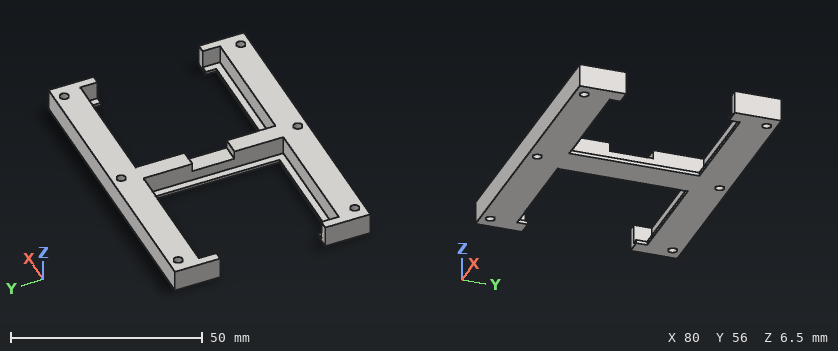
import cadquery as cq

length = 80.0
width = 56.0
height = 6.5

end_wall = 2.5
centre_bar = 5.0
pocket_width = 40.0
pocket_length = (length - centre_bar) / 2 - end_wall
pocket_x = (centre_bar + pocket_length) / 2

ledge_width = 2.0
ledge_height = 1.0

end_gap = 30.0

notch_width = 12.0
notch_depth = 2.5

hole_diameter = 2.4
hole_inset_x = 4.0
hole_inset_y = 2.7
hole_x = length / 2 - hole_inset_x
hole_y = width / 2 - hole_inset_y


def block(size_x, size_y, bottom, top, center_x=0.0):
    """Box centred on the X axis, reaching from bottom to top."""
    return (
        cq.Workplane("XY")
        .box(size_x, size_y, top - bottom, centered=(True, True, False))
        .translate((center_x, 0, bottom))
    )


frame = block(length, width, 0, height)

for side in (-1, 1):
    frame = frame.cut(block(pocket_length, pocket_width, ledge_height, height, side * pocket_x))
    window_length = pocket_length - 2 * ledge_width
    window_width = pocket_width - 2 * ledge_width
    frame = frame.cut(block(window_length, window_width, 0, height, side * pocket_x))

    gap_length = end_wall + ledge_width
    gap_x = (length - gap_length) / 2
    frame = frame.cut(block(gap_length, end_gap, 0, height, side * gap_x))

frame = frame.cut(block(centre_bar, notch_width, height - notch_depth, height))

hole_points = [(x, y) for x in (-hole_x, 0, hole_x) for y in (-hole_y, hole_y)]
holes = cq.Workplane("XY").pushPoints(hole_points).circle(hole_diameter / 2).extrude(height)

result = frame.cut(holes)